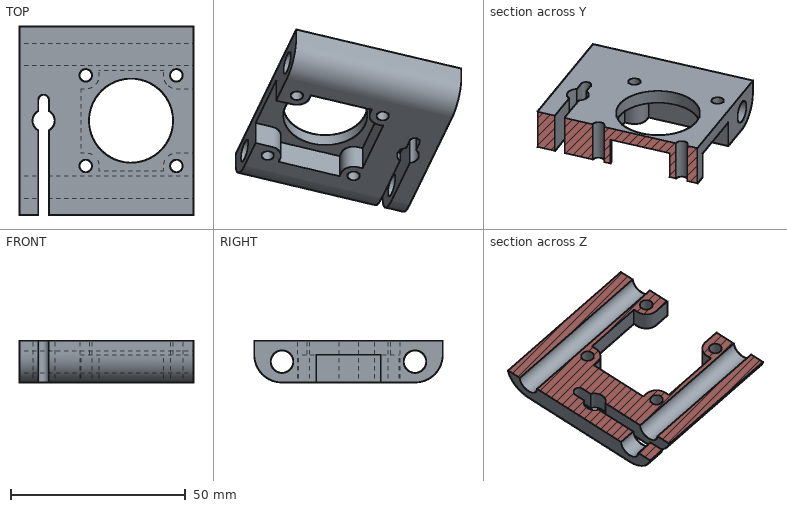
import cadquery as cq

length_x = 50.0
width_y = 54.1
height = 12.0
top_plate = 4.0
edge_radius = height - top_plate

motor_x = 32.05
bore_diameter = 24.0
screw_diameter = 3.5
screw_offset = 13.0
boss_radius = 3.8
pocket_half_width = 14.4
pocket_depth = height - top_plate

slot_x = 7.0
slot_width = 3.0
slot_end_y = 7.4
rod_diameter = 6.3

bolt_diameter = 6.4
bolt_pitch = 38.1


def make_block():
    """Plain block with its two long lower edges rounded."""
    block = cq.Workplane("XY").box(length_x, width_y, height, centered=(False, True, False))
    return block.edges("|X and <Z").fillet(edge_radius)


def make_pocket():
    """Motor pocket open to +X, with a rounded boss left standing around each screw."""
    inner_half_width = screw_offset - boss_radius
    left_x = motor_x - pocket_half_width
    wide_part = cq.Workplane("XY").center(motor_x, 0).rect(2 * inner_half_width, 2 * pocket_half_width)
    narrow_part = (
        cq.Workplane("XY")
        .center((left_x + length_x) / 2, 0)
        .rect(length_x - left_x, 2 * inner_half_width)
    )
    pocket = wide_part.extrude(pocket_depth).union(narrow_part.extrude(pocket_depth))
    boss_corners = cq.selectors.BoxSelector(
        (motor_x - screw_offset, -screw_offset, 0),
        (motor_x + screw_offset, screw_offset, pocket_depth),
    )
    return pocket.edges("|Z").edges(boss_corners).fillet(boss_radius)


def make_motor_holes():
    """Central bore and four mounting screw holes."""
    bore = cq.Workplane("XY").center(motor_x, 0).circle(bore_diameter / 2).extrude(height)
    screws = (
        cq.Workplane("XY")
        .center(motor_x, 0)
        .rect(2 * screw_offset, 2 * screw_offset, forConstruction=True)
        .vertices()
        .circle(screw_diameter / 2)
        .extrude(height)
    )
    return bore.union(screws)


def make_clamp_slot():
    """Round-ended slot open to -Y, widened by the rod hole."""
    slot_radius = slot_width / 2
    arc_start_y = slot_end_y - slot_radius
    slot = (
        cq.Workplane("XY")
        .moveTo(slot_x - slot_radius, -width_y / 2)
        .lineTo(slot_x + slot_radius, -width_y / 2)
        .lineTo(slot_x + slot_radius, arc_start_y)
        .threePointArc((slot_x, slot_end_y), (slot_x - slot_radius, arc_start_y))
        .close()
        .extrude(height)
    )
    rod_hole = cq.Workplane("XY").center(slot_x, 0).circle(rod_diameter / 2).extrude(height)
    return slot.union(rod_hole)


def make_bolt_holes():
    """Two holes through the full length along X, at mid height."""
    return (
        cq.Workplane("YZ")
        .pushPoints([(side * bolt_pitch / 2, height / 2) for side in (-1, 1)])
        .circle(bolt_diameter / 2)
        .extrude(length_x)
    )


result = (
    make_block()
    .cut(make_pocket())
    .cut(make_motor_holes())
    .cut(make_clamp_slot())
    .cut(make_bolt_holes())
)